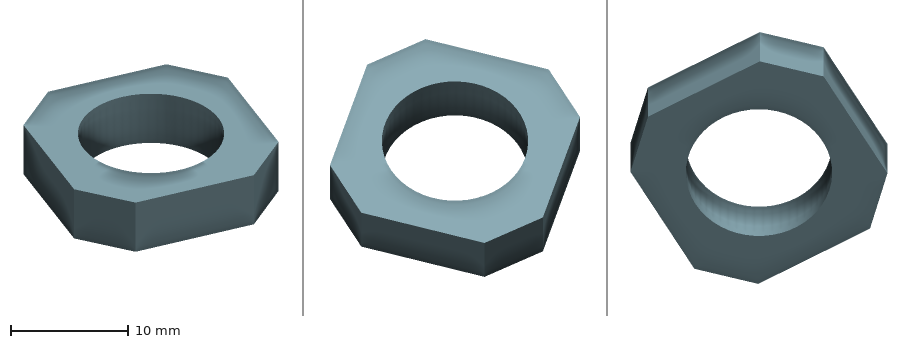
import cadquery as cq

width = 19.0
thickness = 5.0
corner_cut = 4.0
bore_diameter = 12.5


def make_body():
    """Square plate with its four vertical corners cut at 45 degrees."""
    plate = cq.Workplane("XY").box(width, width, thickness, centered=(True, True, False))
    return plate.edges("|Z").chamfer(corner_cut)


def cut_bore(body):
    """Round hole through the centre of the plate."""
    return body.faces(">Z").workplane(origin=(0, 0, 0)).hole(bore_diameter)


result = cut_bore(make_body())